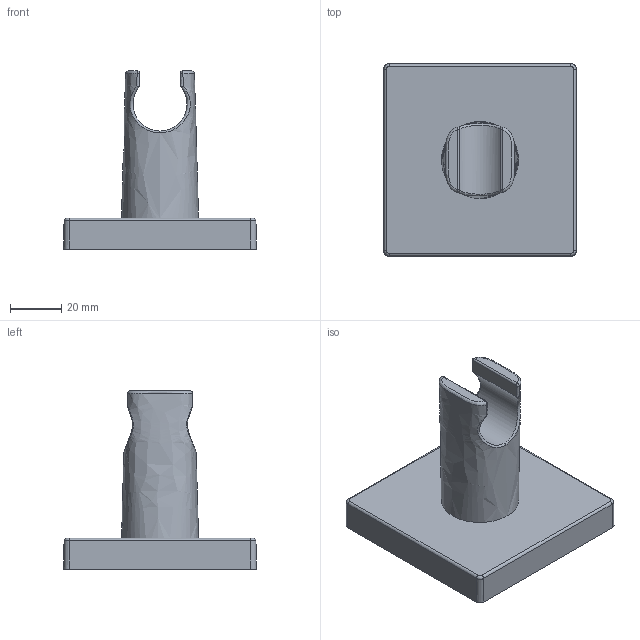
import cadquery as cq
import math

BASE_SIDE = 75.0
BASE_HEIGHT = 12.0
BASE_DRAFT = 1.0
BASE_CORNER_RADIUS = 2.2
BASE_EDGE_RADIUS = 1.0

TOTAL_HEIGHT = 69.3
POST_BASE_RADIUS = 15.0
POST_TIP_HALF_WIDTH = 13.4
CIRCLE_EXPONENT = 2
ROUNDED_SQUARE_EXPONENT = 4
SECTION_POINTS = 24
POST_TIP_EDGE_RADIUS = 1.0

BORE_RADIUS = 10.5
BORE_HEIGHT = 56.4
SLOT_WIDTH = 16.0
CRADLE_EDGE_RADIUS = 0.7


def base_plate():
    """Square plate with slightly drafted sides and a rounded top rim."""
    outline = cq.Sketch().rect(BASE_SIDE, BASE_SIDE).vertices().fillet(BASE_CORNER_RADIUS)
    block = cq.Workplane("XY").placeSketch(outline).extrude(BASE_HEIGHT, taper=BASE_DRAFT)
    return block.faces(">Z").edges().fillet(BASE_EDGE_RADIUS)


def section_point(half_width, exponent, angle):
    """Point at a polar angle on the curve |x|^n + |y|^n = half_width^n."""
    x = math.cos(angle)
    y = math.sin(angle)
    reach = half_width / (abs(x) ** exponent + abs(y) ** exponent) ** (1 / exponent)
    return (reach * x, reach * y)


def post_section(workplane, half_width, exponent):
    """Smooth closed section that starts on the -Y side."""
    step = 2 * math.pi / SECTION_POINTS
    start = -math.pi / 2
    points = [section_point(half_width, exponent, start + i * step) for i in range(SECTION_POINTS)]
    return workplane.spline(points, periodic=True).close()


def post():
    """Ruled blend from the round foot to the rounded-square tip."""
    foot = post_section(cq.Workplane("XY", origin=(0, 0, BASE_HEIGHT)), POST_BASE_RADIUS, CIRCLE_EXPONENT)
    tip_plane = foot.workplane(offset=TOTAL_HEIGHT - BASE_HEIGHT)
    tip = post_section(tip_plane, POST_TIP_HALF_WIDTH, ROUNDED_SQUARE_EXPONENT)
    body = tip.loft(ruled=True, combine=True)
    return body.faces(">Z").edges().fillet(POST_TIP_EDGE_RADIUS)


def cradle_cutter():
    """Bore with the slot that opens it upwards, long enough to cross the post."""
    length = 4 * POST_BASE_RADIUS
    slot_height = 2 * (TOTAL_HEIGHT - BORE_HEIGHT)
    bore = cq.Workplane("XZ", origin=(0, 0, BORE_HEIGHT)).circle(BORE_RADIUS).extrude(length / 2, both=True)
    slot = cq.Workplane("XY", origin=(0, 0, BORE_HEIGHT)).box(
        SLOT_WIDTH, length, slot_height, centered=(True, True, False)
    )
    return bore.union(slot)


def holder():
    """Post with the cradle cut through it and the rims of the bore and slot rounded."""
    cut_post = post().cut(cradle_cutter())
    return cut_post.faces("|X or %CYLINDER").edges("not |Y").fillet(CRADLE_EDGE_RADIUS)


result = base_plate().union(holder())